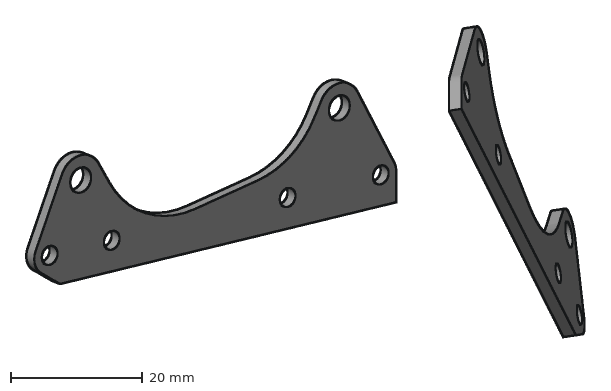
import cadquery as cq
import math

plate_thickness = 2.0
plate_length = 70.0
plate_height = 21.35

small_hole_diameter = 3.0
end_radius = 3.0
hole_row_height = 5.0
tip_hole_y = end_radius
far_hole_y = plate_length - end_radius
inner_hole_ys = (15.0, 49.0)

large_hole_diameter = 4.0
ear_radius = 4.0
low_ear_center = (9.0, 15.88)
high_ear_center = (59.0, plate_height - ear_radius)

low_valley_radius = 16.0
low_valley_center = (28.3, 22.55)
high_valley_radius = 15.5
high_valley_center = (40.52, 24.19)

bevel_length = 5.0

outline_rounds = [
    ((bevel_length, 0.0), 0.0),
    ((plate_length, 0.0), 0.0),
    ((far_hole_y, hole_row_height), end_radius),
    (high_ear_center, ear_radius),
    (high_valley_center, -high_valley_radius),
    (low_valley_center, -low_valley_radius),
    (low_ear_center, ear_radius),
    ((tip_hole_y, hole_row_height), end_radius),
]


def tangent_normal(start_round, end_round):
    """Outward unit normal of the tangent line from one round to the next."""
    (start_y, start_z), start_radius = start_round
    (end_y, end_z), next_radius = end_round
    dy = end_y - start_y
    dz = end_z - start_z
    distance = math.hypot(dy, dz)
    angle = math.atan2(dz, dy) - math.acos((start_radius - next_radius) / distance)
    return math.cos(angle), math.sin(angle)


def point_on_round(center, radius, direction):
    return center[0] + radius * direction[0], center[1] + radius * direction[1]


def bisector(first, second):
    """Unit direction halfway between two unit directions."""
    y = first[0] + second[0]
    z = first[1] + second[1]
    length = math.hypot(y, z)
    return y / length, z / length


def make_plate():
    count = len(outline_rounds)
    normals = [
        tangent_normal(outline_rounds[i], outline_rounds[(i + 1) % count])
        for i in range(count)
    ]
    first_corner = outline_rounds[0][0]
    outline = cq.Workplane("YZ").moveTo(*first_corner)
    for i in range(1, count):
        center, radius = outline_rounds[i]
        normal_in = normals[i - 1]
        normal_out = normals[i]
        outline = outline.lineTo(*point_on_round(center, radius, normal_in))
        if radius != 0:
            middle = point_on_round(center, radius, bisector(normal_in, normal_out))
            arc_end = point_on_round(center, radius, normal_out)
            outline = outline.threePointArc(middle, arc_end)
    return outline.close().extrude(plate_thickness)


def cut_holes(plate, centers, diameter):
    holes = cq.Workplane("YZ").pushPoints(centers).circle(diameter / 2).extrude(plate_thickness)
    return plate.cut(holes)


small_hole_centers = [(y, hole_row_height) for y in (tip_hole_y, *inner_hole_ys, far_hole_y)]

result = make_plate()
result = cut_holes(result, small_hole_centers, small_hole_diameter)
result = cut_holes(result, [low_ear_center, high_ear_center], large_hole_diameter)